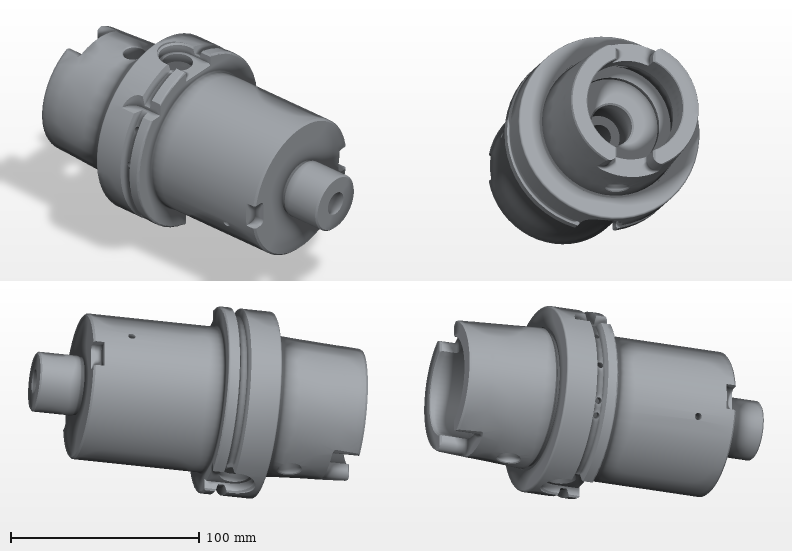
import cadquery as cq
import math

overall_length = 174.0
gauge_x = 50.0
flange_length = 29.0
flange_end_x = gauge_x + flange_length
body_end_x = 150.0

taper_front_radius = 35.3
taper_back_radius = 38.0
taper_lead_in = 1.2
taper_lead_in_drop = 0.5
relief_width = 2.1
relief_radius = 36.4
relief_outer_radius = 38.6
relief_recess = 0.7

flange_diameter = 100.0
flange_radius = flange_diameter / 2
flange_edge_radius = 1.0
groove_center_x = 70.0
groove_floor_radius = 46.0
groove_floor_half_width = 1.7
groove_rim_half_width = 3.1

body_radius = 39.0
body_root_radius = 0.9
body_edge_break = 1.0
spigot_radius = 16.0
spigot_relief_radius = 15.5
spigot_relief_width = 1.0
spigot_relief_ramp = 1.0
spigot_edge_break = 0.9

bore_radius = 26.5
bore_edge_break = 0.5
undercut_start_x = 19.5
undercut_end_radius = 31.5
undercut_end_x = 41.8
recess_radius = 25.2
recess_end_x = 45.2
thread_radius = 11.3
thread_edge_break = 0.9
thread_end_x = 69.6
through_radius = 6.5

upper_slot_depth = 10.3
lower_slot_depth = 15.0
slot_half_width = 10.1
slot_mouth_break = 1.0
slot_floor_fillet = 1.5
slot_flare_radius = 4.4
slot_flare_z = 27.3
slot_inner_z = 17.4

cross_hole_x = 35.0
cross_hole_radius = 6.1
cross_hole_edge_break = 0.5
cross_hole_mouth_z = 33.0

notch_center_x = 64.7
notch_half_width = 10.1
notch_rim_break = 0.9
notch_floor_z = 43.5
notch_floor_edge_break = 1.0
pocket_radius = 8.2
pocket_depth = 4.9

orientation_floor_z = 31.7
orientation_wall_y = -31.5
orientation_radius = 7.7
orientation_center_x = 66.1

balance_angles = (30.0, 4.7, -20.0, -30.0)
balance_radius = 1.7
balance_depth = 4.4

key_half_width = 7.1
key_length = 5.7
key_floor_radius = 31.3
key_corner_fillet = 2.6
screw_x = 129.0
screw_angle = 20.0
screw_radius = 2.0
screw_depth = 8.7


def box(x0, x1, y0, y1, z0, z1):
    block = cq.Workplane("XY").box(x1 - x0, y1 - y0, z1 - z0, centered=False)
    return block.translate((x0, y0, z0))


def half_turn(shape):
    """Copy of a shape turned half a turn about the part axis."""
    return shape.rotate((0, 0, 0), (1, 0, 0), 180)


def revolve_about_x(sketch):
    return sketch.close().revolve(360, (0, 0, 0), (1, 0, 0))


def outer_body():
    taper_end_x = gauge_x - relief_width
    relief_drop = taper_back_radius - relief_radius
    profile = (
        cq.Workplane("XY")
        .moveTo(0, 0)
        .lineTo(0, taper_front_radius - taper_lead_in_drop)
        .lineTo(taper_lead_in, taper_front_radius)
        .lineTo(taper_end_x, taper_back_radius)
        .lineTo(taper_end_x + relief_drop, relief_radius)
        .lineTo(gauge_x + relief_recess, relief_radius)
        .lineTo(gauge_x + relief_recess, relief_outer_radius)
        .lineTo(gauge_x, relief_outer_radius)
        .lineTo(gauge_x, flange_radius - flange_edge_radius)
        .radiusArc((gauge_x + flange_edge_radius, flange_radius), flange_edge_radius)
        .lineTo(groove_center_x - groove_rim_half_width, flange_radius)
        .lineTo(groove_center_x - groove_floor_half_width, groove_floor_radius)
        .lineTo(groove_center_x + groove_floor_half_width, groove_floor_radius)
        .lineTo(groove_center_x + groove_rim_half_width, flange_radius)
        .lineTo(flange_end_x - flange_edge_radius, flange_radius)
        .radiusArc((flange_end_x, flange_radius - flange_edge_radius), flange_edge_radius)
        .lineTo(flange_end_x, body_radius + body_root_radius)
        .radiusArc((flange_end_x + body_root_radius, body_radius), -body_root_radius)
        .lineTo(body_end_x - body_edge_break, body_radius)
        .lineTo(body_end_x, body_radius - body_edge_break)
        .lineTo(body_end_x, spigot_relief_radius)
        .lineTo(body_end_x + spigot_relief_width, spigot_relief_radius)
        .lineTo(body_end_x + spigot_relief_width + spigot_relief_ramp, spigot_radius)
        .lineTo(overall_length - spigot_edge_break, spigot_radius)
        .lineTo(overall_length, spigot_radius - spigot_edge_break)
        .lineTo(overall_length, 0)
    )
    return revolve_about_x(profile)


def axial_bore():
    profile = (
        cq.Workplane("XY")
        .moveTo(0, 0)
        .lineTo(0, bore_radius + bore_edge_break)
        .lineTo(bore_edge_break, bore_radius)
        .lineTo(undercut_start_x, bore_radius)
        .lineTo(undercut_end_x, undercut_end_radius)
        .lineTo(undercut_end_x, recess_radius)
        .lineTo(recess_end_x, recess_radius)
        .lineTo(recess_end_x, thread_radius + thread_edge_break)
        .lineTo(recess_end_x + thread_edge_break, thread_radius)
        .lineTo(thread_end_x, thread_radius)
        .lineTo(thread_end_x, through_radius)
        .lineTo(overall_length, through_radius)
        .lineTo(overall_length, 0)
    )
    return revolve_about_x(profile)


def drive_slot(depth):
    """Slot on +Z, flaring outward along an arc, with a filleted floor and a chamfered mouth."""
    flare_y = slot_half_width + slot_flare_radius
    flare_z = slot_flare_z + slot_flare_radius
    side_y = taper_back_radius
    arc_y = flare_y - slot_flare_radius * math.cos(math.pi / 4)
    arc_z = slot_flare_z + slot_flare_radius * math.sin(math.pi / 4)
    slot = (
        cq.Workplane("YZ")
        .moveTo(-slot_half_width, slot_inner_z)
        .lineTo(slot_half_width, slot_inner_z)
        .lineTo(slot_half_width, slot_flare_z)
        .threePointArc((arc_y, arc_z), (flare_y, flare_z))
        .lineTo(side_y, flare_z)
        .lineTo(side_y, side_y + slot_flare_radius)
        .lineTo(-side_y, side_y + slot_flare_radius)
        .lineTo(-side_y, flare_z)
        .lineTo(-flare_y, flare_z)
        .threePointArc((-arc_y, arc_z), (-slot_half_width, slot_flare_z))
        .close()
        .extrude(depth)
        .faces(">X").edges().fillet(slot_floor_fillet)
    )
    mouth = (
        cq.Workplane("XY")
        .polyline([
            (0, -slot_half_width - slot_mouth_break),
            (0, slot_half_width + slot_mouth_break),
            (slot_mouth_break, slot_half_width),
            (slot_mouth_break, -slot_half_width),
        ])
        .close()
        .extrude(flare_z - slot_inner_z)
        .translate((0, 0, slot_inner_z))
    )
    return slot.union(mouth)


def flange_notch():
    """Round-ended notch on +Z with a chamfered rim and a round pocket in its floor."""
    def rounded_slot(half_width, z):
        end_x = flange_end_x + 2 * half_width
        return (
            cq.Workplane("XY", origin=(0, 0, z))
            .moveTo(end_x, -half_width)
            .lineTo(notch_center_x, -half_width)
            .threePointArc((notch_center_x - half_width, 0), (notch_center_x, half_width))
            .lineTo(end_x, half_width)
            .close()
        )

    rim_half_width = notch_half_width + notch_rim_break
    notch_rim_z = math.sqrt(flange_radius ** 2 - rim_half_width ** 2)
    clear_height = flange_radius - notch_rim_z
    straight = rounded_slot(notch_half_width, notch_floor_z).extrude(flange_radius - notch_floor_z)
    rim = rounded_slot(rim_half_width, notch_rim_z).extrude(-notch_rim_break, taper=45)
    above = rounded_slot(rim_half_width, notch_rim_z).extrude(clear_height)
    pocket = (
        cq.Workplane("XY", origin=(notch_center_x, 0, notch_floor_z))
        .circle(pocket_radius)
        .extrude(-pocket_depth)
    )
    beyond_flange = box(flange_end_x, overall_length, -flange_radius, flange_radius, 0, flange_radius)
    floor_edge = (
        cq.Workplane("XZ", origin=(0, notch_half_width, 0))
        .polyline([
            (flange_end_x - notch_floor_edge_break, notch_floor_z),
            (flange_end_x, notch_floor_z),
            (flange_end_x, notch_floor_z - notch_floor_edge_break),
        ])
        .close()
        .extrude(2 * notch_half_width)
    )
    return straight.union(rim).union(above).cut(beyond_flange).union(floor_edge).union(pocket)


def orientation_notch():
    height = flange_radius - orientation_floor_z
    straight = box(orientation_center_x, flange_end_x, -flange_radius, orientation_wall_y,
                   orientation_floor_z, flange_radius)
    center = (orientation_center_x, orientation_wall_y - orientation_radius, orientation_floor_z)
    rounded_end = (
        cq.Workplane("XY", origin=center)
        .circle(orientation_radius)
        .extrude(height)
    )
    return straight.union(rounded_end)


def radial_hole(x, angle, surface_radius, radius, depth):
    """Blind hole pointing at the axis, its angle measured from -Y toward +Z."""
    outward = cq.Vector(0, -math.cos(math.radians(angle)), math.sin(math.radians(angle)))
    start = cq.Vector(x, 0, 0) + outward * (surface_radius - depth)
    return cq.Workplane(cq.Solid.makeCylinder(radius, 2 * depth, start, outward))


def key_slot():
    slot = box(body_end_x - key_length, body_end_x, -2 * body_radius, -key_floor_radius,
               -key_half_width, key_half_width)
    return slot.edges("|X and >Y").fillet(key_corner_fillet)


result = outer_body().cut(axial_bore())

result = result.cut(drive_slot(upper_slot_depth))
result = result.cut(half_turn(drive_slot(lower_slot_depth)))

cross_hole = (
    cq.Workplane("XY", origin=(cross_hole_x, 0, 0))
    .circle(cross_hole_radius)
    .extrude(flange_radius, both=True)
)
result = result.cut(cross_hole)
for side in (-1, 1):
    mouth_box = cq.selectors.BoxSelector(
        (cross_hole_x - cross_hole_radius, -cross_hole_radius, side * cross_hole_mouth_z),
        (cross_hole_x + cross_hole_radius, cross_hole_radius, side * flange_radius),
    )
    result = result.edges(mouth_box).chamfer(cross_hole_edge_break)

result = result.cut(flange_notch())
result = result.cut(half_turn(flange_notch()))
result = result.cut(orientation_notch())

for angle in balance_angles:
    result = result.cut(
        radial_hole(groove_center_x, angle, groove_floor_radius, balance_radius, balance_depth)
    )

screw_hole = radial_hole(screw_x, -screw_angle, body_radius, screw_radius, screw_depth)
for feature in (key_slot(), screw_hole):
    result = result.cut(feature)
    result = result.cut(half_turn(feature))